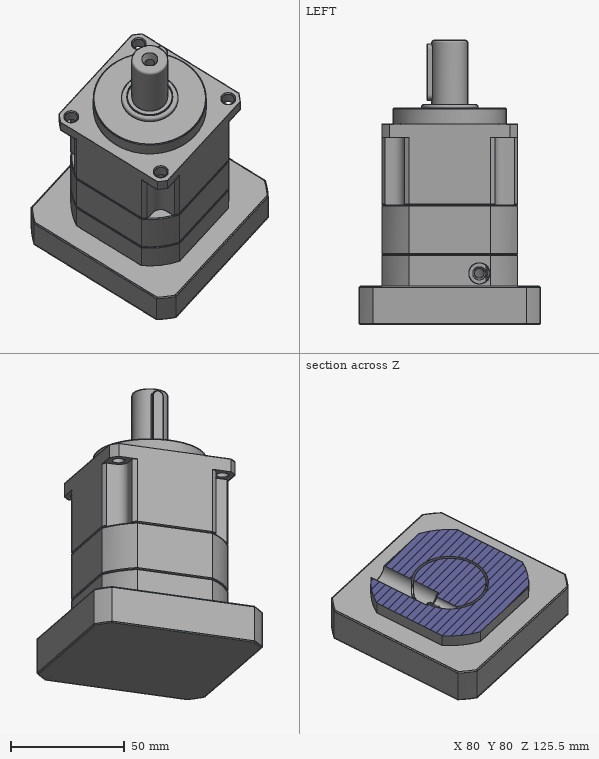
import cadquery as cq
import math

total_height = 125.5
base_top = 17.0
lower_seam = 30.9
upper_seam = 52.7
flange_bottom = 82.5
flange_top = 88.5
pilot_top = 95.5
seal_top = 97.1

base_width = 80.0
base_corner_diameter = 104.8
base_edge_chamfer = 0.5

body_width = 59.9
body_corner_diameter = 69.8
flange_corner_diameter = 80.2
seam_chamfer = 0.44

screw_spacing = 49.5
screw_hole_diameter = 5.5
screw_hole_chamfer = 0.5
countersink_angle = 90.0
pocket_radius = 4.5
pocket_wall = 20.0

pilot_diameter = 50.0
pilot_chamfer = 0.4
seal_diameter = 25.0
seal_fillet = 1.1
seal_gap = 0.31
seal_gap_depth = 0.4

port_y = -13.0
port_z = 22.6
port_diameter = 9.3
clamp_hole_diameter = 4.3
clamp_hole_mouth = 5.8
hub_diameter = 32.1
hub_clearance = 0.9
hub_height = 11.3

shaft_diameter = 16.0
shaft_end_fillet = 1.1
journal_diameter = 19.7
centre_hole_diameter = 4.1
centre_mouth_diameter = 7.0
centre_cone_depth = 3.0
centre_hole_depth = 12.5
drill_point_angle = 118.0

key_width = 5.0
key_height = 5.0
key_length = 25.0
key_end_gap = 1.6
key_top_y = 10.0
key_chamfer = 0.3

journal_bottom = flange_bottom
key_center_z = total_height - key_end_gap - key_length / 2
half_body = body_width / 2


def rounded_square(width, corner_diameter, bottom, top):
    """Square prism whose corners are turned down to a cylinder."""
    height = top - bottom
    prism = cq.Workplane("XY").workplane(offset=bottom).rect(width, width).extrude(height)
    cylinder = cq.Workplane("XY").workplane(offset=bottom).circle(corner_diameter / 2).extrude(height)
    return prism.intersect(cylinder)


def disc(diameter, bottom, top):
    return cq.Workplane("XY").workplane(offset=bottom).circle(diameter / 2).extrude(top - bottom)


def make_corner_pockets():
    """Square-cornered reliefs, rounded about each flange screw."""
    pocket_size = half_body - pocket_wall
    pocket_center = pocket_wall + pocket_size / 2
    pocket = (
        cq.Workplane("XY").workplane(offset=upper_seam)
        .center(pocket_center, pocket_center)
        .rect(pocket_size, pocket_size)
        .extrude(flange_bottom - upper_seam)
        .edges("|Z and <X and <Y").fillet(pocket_radius)
    )
    pockets = cq.Workplane("XY")
    for quarter in range(4):
        pockets = pockets.add(pocket.rotate((0, 0, 0), (0, 0, 1), 90 * quarter))
    return pockets.combine()


def make_hub_clearance():
    """Annular gap around the clamp hub, inside the lower body section."""
    bottom = port_z - hub_height / 2
    top = port_z + hub_height / 2
    return disc(hub_diameter + 2 * hub_clearance, bottom, top).cut(disc(hub_diameter, bottom, top))


def make_access_port():
    """Port along X to the middle plane, with a countersunk screw hole through the hub in its floor."""
    floor = cq.Workplane("YZ", origin=(0, port_y, port_z))
    port = floor.circle(port_diameter / 2).extrude(-half_body)
    clamp_hole = floor.circle(clamp_hole_diameter / 2).extrude(hub_diameter / 2)
    countersink_depth = (clamp_hole_mouth - clamp_hole_diameter) / 2
    countersink = (
        floor.circle(clamp_hole_mouth / 2)
        .workplane(offset=countersink_depth).circle(clamp_hole_diameter / 2)
        .loft(ruled=True)
    )
    cavity = disc(hub_diameter + 2 * hub_clearance, 0, lower_seam)
    return port.union(clamp_hole.union(countersink).intersect(cavity))


def make_housing():
    base = rounded_square(base_width, base_corner_diameter, 0, base_top)
    base = base.faces("<Z or >Z").chamfer(base_edge_chamfer)

    lower = rounded_square(body_width, body_corner_diameter, base_top, lower_seam)
    lower = lower.faces(">Z").chamfer(seam_chamfer)
    middle = rounded_square(body_width, body_corner_diameter, lower_seam, upper_seam)
    middle = middle.faces("<Z or >Z").chamfer(seam_chamfer)
    upper = rounded_square(body_width, body_corner_diameter, upper_seam, flange_bottom)
    upper = upper.faces("<Z").chamfer(seam_chamfer).cut(make_corner_pockets())

    flange = rounded_square(body_width, flange_corner_diameter, flange_bottom, flange_top)
    flange = (
        flange.faces(">Z").workplane()
        .rect(screw_spacing, screw_spacing, forConstruction=True).vertices()
        .cskHole(screw_hole_diameter, screw_hole_diameter + 2 * screw_hole_chamfer, countersink_angle)
    )
    pilot = disc(pilot_diameter, flange_top, pilot_top).faces(">Z").chamfer(pilot_chamfer)
    seal = disc(seal_diameter, pilot_top, seal_top).faces(">Z").edges().fillet(seal_fillet)

    housing = base.union(lower).union(middle).union(upper).union(flange).union(pilot).union(seal)
    housing = housing.cut(disc(journal_diameter, journal_bottom, seal_top))
    housing = housing.cut(disc(journal_diameter + 2 * seal_gap, seal_top - seal_gap_depth, seal_top))
    return housing.cut(make_hub_clearance()).cut(make_access_port())


def make_centre_hole():
    """Countersunk blind hole with a drill point, revolved about the shaft axis."""
    mouth_radius = centre_mouth_diameter / 2
    hole_radius = centre_hole_diameter / 2
    cone_bottom = total_height - centre_cone_depth
    hole_bottom = total_height - centre_hole_depth
    tip = hole_bottom - hole_radius / math.tan(math.radians(drill_point_angle / 2))
    return (
        cq.Workplane("XZ")
        .moveTo(0, total_height).lineTo(mouth_radius, total_height)
        .lineTo(hole_radius, cone_bottom).lineTo(hole_radius, hole_bottom).lineTo(0, tip)
        .close().revolve(360, (0, 0, 0), (0, 1, 0))
    )


def make_key_blank():
    """Round-ended key lying along Z, seated in the +Y side of the shaft."""
    return (
        cq.Workplane("XZ", origin=(0, key_top_y, key_center_z))
        .slot2D(key_length, key_width, angle=90).extrude(key_height)
    )


def make_shaft():
    journal = disc(journal_diameter, journal_bottom, seal_top)
    shaft = disc(shaft_diameter, seal_top, total_height).faces(">Z").edges().fillet(shaft_end_fillet)
    return journal.union(shaft).cut(make_centre_hole()).cut(make_key_blank())


def make_key():
    return make_key_blank().faces(">Y").chamfer(key_chamfer)


housing = make_housing()
shaft = make_shaft()
key = make_key()

result = cq.Compound.makeCompound([housing.val(), shaft.val(), key.val()])